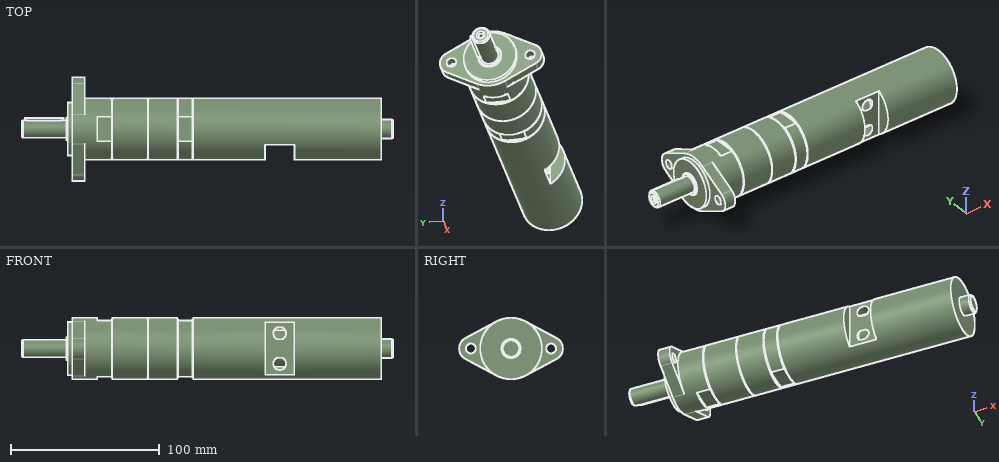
import cadquery as cq
import math

SHAFT_TIP_X = 0.0
COLLAR_X = 30.2
PILOT_X = 31.0
FLANGE_X = 34.0
FLANGE_THICKNESS = 8.5
FRONT_FLATS_X = 51.0
REAR_FLATS_X = 105.3
FLATS_LENGTH = 9.6
BODY_END_X = 242.2
OVERALL_LENGTH = 250.2

BODY_DIAMETER = 41.5
SHAFT_DIAMETER = 12.0
COLLAR_DIAMETER = 16.0
COLLAR_FACE_DIAMETER = 14.95
PILOT_DIAMETER = 36.0
STUB_DIAMETER = 13.0

BOLT_SPACING = 54.0
BOLT_HOLE_DIAMETER = 6.5
LUG_DIAMETER = 16.0

FLATS_ACROSS = 38.0

GROOVE_DIAMETER = 39.5
GROOVE_WIDTH = 0.5
MIDDLE_GROOVE_X = 84.85
MIDDLE_GROOVE_WIDTH = 0.3

KEY_WIDTH = 4.0
KEY_LENGTH = 26.0
KEY_START_X = 2.2
KEY_TOP_Y = 7.5

SHAFT_CHAMFER = 1.0
STUB_CHAMFER = 1.0
CENTRE_HOLE_DIAMETER = 3.24
CENTRE_HOLE_DEPTH = 10.0
COUNTERSINK_DIAMETER = 5.6
DRILL_POINT_ANGLE = 118.0

POCKET_X = 163.9
POCKET_WIDTH = 19.6
POCKET_DEPTH = 10.0
PORT_DIAMETER = 8.57
PORT_SPACING = 20.4
PORT_DEPTH = 9.0
CORE_DIAMETER = 25.0


def disc(diameter, start_x, end_x):
    """Cylinder on the X axis between two stations."""
    return cq.Workplane("YZ", origin=(start_x, 0, 0)).circle(diameter / 2).extrude(end_x - start_x)


def make_flange_lugs():
    """Flange lugs: two lug arcs, each joined to the body circle by its tangent lines."""
    body_radius = BODY_DIAMETER / 2
    lug_radius = LUG_DIAMETER / 2
    lug_y = BOLT_SPACING / 2
    normal_y = (body_radius - lug_radius) / lug_y
    normal_z = math.sqrt(1 - normal_y**2)
    body_y, body_z = body_radius * normal_y, body_radius * normal_z
    end_y, end_z = lug_y + lug_radius * normal_y, lug_radius * normal_z
    return (
        cq.Workplane("YZ", origin=(FLANGE_X, 0, 0))
        .moveTo(-body_y, body_z)
        .lineTo(body_y, body_z)
        .lineTo(end_y, end_z)
        .threePointArc((lug_y + lug_radius, 0), (end_y, -end_z))
        .lineTo(body_y, -body_z)
        .lineTo(-body_y, -body_z)
        .lineTo(-end_y, -end_z)
        .threePointArc((-lug_y - lug_radius, 0), (-end_y, end_z))
        .close()
        .pushPoints([(-lug_y, 0), (lug_y, 0)])
        .circle(BOLT_HOLE_DIAMETER / 2)
        .extrude(FLANGE_THICKNESS)
    )


def make_centre_hole():
    """Cutter for the centre hole: 90 degree countersink, bore and conical drill point."""
    hole_radius = CENTRE_HOLE_DIAMETER / 2
    sink_radius = COUNTERSINK_DIAMETER / 2
    bore_start_x = SHAFT_TIP_X + sink_radius - hole_radius
    bore_end_x = SHAFT_TIP_X + CENTRE_HOLE_DEPTH
    point_length = hole_radius / math.tan(math.radians(DRILL_POINT_ANGLE / 2))
    return (
        cq.Workplane("XY")
        .moveTo(SHAFT_TIP_X, 0)
        .lineTo(SHAFT_TIP_X, sink_radius)
        .lineTo(bore_start_x, hole_radius)
        .lineTo(bore_end_x, hole_radius)
        .lineTo(bore_end_x + point_length, 0)
        .close()
        .revolve(360, (0, 0, 0), (1, 0, 0))
    )


def make_shaft():
    """Output shaft with a chamfered tip, a tapered collar, the key and a centre hole."""
    shaft = disc(SHAFT_DIAMETER, SHAFT_TIP_X, PILOT_X).faces("<X").chamfer(SHAFT_CHAMFER)
    collar_taper = (COLLAR_DIAMETER - COLLAR_FACE_DIAMETER) / 2
    collar = disc(COLLAR_DIAMETER, COLLAR_X, PILOT_X).faces("<X").chamfer(collar_taper)
    return shaft.union(collar).union(make_key()).cut(make_centre_hole())


def make_key():
    """Round-ended parallel key, from the shaft axis out to its top face."""
    return (
        cq.Workplane("XZ")
        .center(KEY_START_X + KEY_LENGTH / 2, 0)
        .slot2D(KEY_LENGTH, KEY_WIDTH)
        .extrude(-KEY_TOP_Y)
    )


def cut_flats(body, start_x):
    """Cut the top and bottom wrench flats of one band."""
    end_x = start_x + FLATS_LENGTH
    band = disc(BODY_DIAMETER, start_x, end_x)
    middle_x = (start_x + end_x) / 2
    kept = cq.Workplane("XY", origin=(middle_x, 0, 0)).box(FLATS_LENGTH, BODY_DIAMETER, FLATS_ACROSS)
    return body.cut(band.cut(kept))


def cut_groove(body, start_x, width):
    """Cut one narrow joint groove around the body."""
    end_x = start_x + width
    return body.cut(disc(BODY_DIAMETER, start_x, end_x).cut(disc(GROOVE_DIAMETER, start_x, end_x)))


def cut_ports(body):
    """Cut the flat-floored pocket and the two ports in its floor."""
    floor_y = POCKET_DEPTH - BODY_DIAMETER / 2
    middle_x = POCKET_X + POCKET_WIDTH / 2
    pocket = cq.Workplane("XY", origin=(middle_x, floor_y - POCKET_DEPTH / 2, 0)).box(
        POCKET_WIDTH, POCKET_DEPTH, BODY_DIAMETER
    )
    ports = (
        cq.Workplane("XZ", origin=(middle_x, floor_y, 0))
        .pushPoints([(0, -PORT_SPACING / 2), (0, PORT_SPACING / 2)])
        .circle(PORT_DIAMETER / 2)
        .extrude(-PORT_DEPTH)
        .cut(disc(CORE_DIAMETER, POCKET_X, POCKET_X + POCKET_WIDTH))
    )
    return body.cut(pocket).cut(ports)


body = disc(BODY_DIAMETER, FLANGE_X, BODY_END_X)
for flats_x in (FRONT_FLATS_X, REAR_FLATS_X):
    body = cut_flats(body, flats_x)
for groove_x in (
    FRONT_FLATS_X + FLATS_LENGTH,
    REAR_FLATS_X - GROOVE_WIDTH,
    REAR_FLATS_X + FLATS_LENGTH,
):
    body = cut_groove(body, groove_x, GROOVE_WIDTH)
body = cut_groove(body, MIDDLE_GROOVE_X, MIDDLE_GROOVE_WIDTH)
body = cut_ports(body)

pilot = disc(PILOT_DIAMETER, PILOT_X, FLANGE_X)
stub = disc(STUB_DIAMETER, BODY_END_X, OVERALL_LENGTH).faces(">X").chamfer(STUB_CHAMFER)

result = body.union(make_flange_lugs()).union(pilot).union(stub).union(make_shaft())